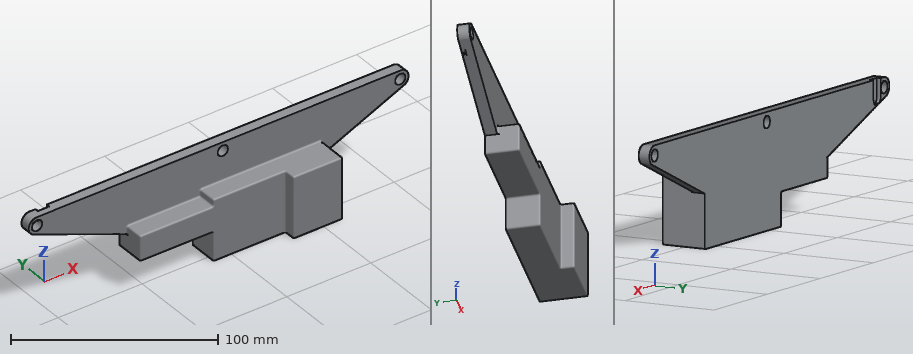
import cadquery as cq
import math

length = 226.2
height = 58.4
plate_thickness = 6.0
end_radius = 5.0
hole_diameter = 6.0
middle_hole_x = 115.5
slope_foot_z = 27.4

arm_left = 58.4
body_left = 102.0
deep_left = 144.8
body_right = 174.2
arm_bottom = 17.2
arm_top = 32.1
body_top = 36.2
shallow_depth = 17.2
full_depth = 24.0
edge_radius = 1.0
root_radius = 1.0

groove_left = 8.4
groove_width = 6.8
groove_depth = 2.0
groove_center_z = 49.0

hole_z = height - end_radius
left_hole_x = end_radius
right_hole_x = length - end_radius


def box(left, right, bottom, top, depth):
    """Box reaching from the back face forward to the given depth."""
    return cq.Workplane("XY").box(right - left, depth, top - bottom, centered=False).translate(
        (left, -depth, bottom)
    )


def tangent_point(center_x, foot_x, side):
    """Point where the sloped edge from the foot touches the round end; side is -1 left, +1 right."""
    run = abs(foot_x - center_x)
    drop = hole_z - slope_foot_z
    angle = math.atan2(drop, run) + math.asin(end_radius / math.hypot(run, drop))
    return (
        center_x + side * end_radius * math.sin(angle),
        hole_z - end_radius * math.cos(angle),
    )


def make_plate():
    left_tangent = tangent_point(left_hole_x, arm_left, -1)
    right_tangent = tangent_point(right_hole_x, body_right, 1)
    plate = (
        cq.Workplane("XZ")
        .moveTo(left_hole_x, height)
        .lineTo(right_hole_x, height)
        .threePointArc((length, hole_z), right_tangent)
        .lineTo(body_right, slope_foot_z)
        .lineTo(arm_left, slope_foot_z)
        .lineTo(*left_tangent)
        .threePointArc((0, hole_z), (left_hole_x, height))
        .close()
        .extrude(plate_thickness)
    )
    groove_radius = groove_width / 2
    groove = box(groove_left, groove_left + groove_width, groove_center_z, height, groove_depth)
    groove = groove.union(
        cq.Workplane("XZ")
        .center(groove_left + groove_radius, groove_center_z)
        .circle(groove_radius)
        .extrude(groove_depth)
    )
    holes = (
        cq.Workplane("XZ")
        .pushPoints([(x, hole_z) for x in (left_hole_x, middle_hole_x, right_hole_x)])
        .circle(hole_diameter / 2)
        .extrude(plate_thickness)
    )
    return plate.cut(groove).cut(holes)


def make_block():
    arm = box(arm_left, body_right, arm_bottom, arm_top, shallow_depth)
    body = box(body_left, body_right, 0, body_top, shallow_depth)
    deep = box(deep_left, body_right, 0, body_top, full_depth)
    block = arm.union(body).union(deep).clean()
    return block.edges("not >Y").fillet(edge_radius)


def make_part():
    body = make_plate().union(make_block())
    root_zone = cq.selectors.BoxSelector(
        (arm_left - edge_radius, -plate_thickness - edge_radius / 2, slope_foot_z - edge_radius),
        (body_right + edge_radius, -plate_thickness + edge_radius / 2, hole_z - hole_diameter),
    )
    return body.edges(root_zone).fillet(root_radius)


result = make_part()